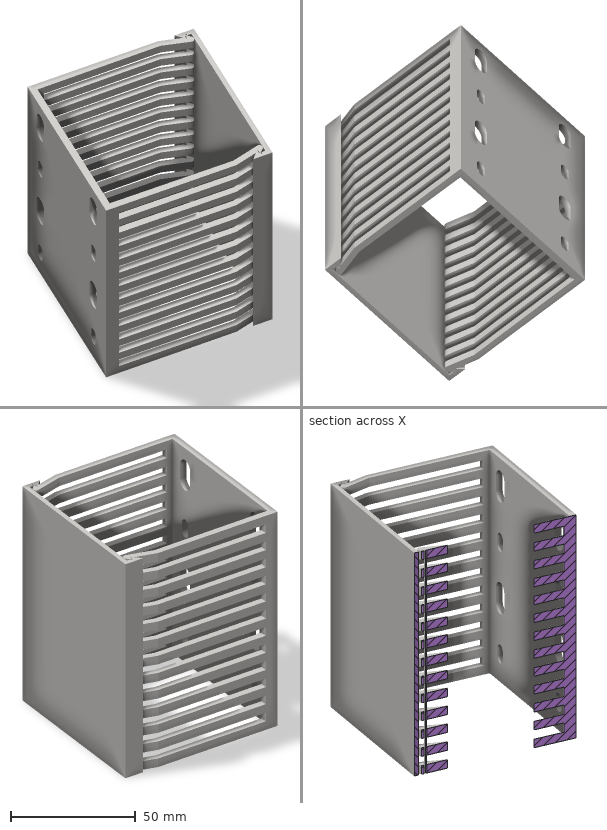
import cadquery as cq
import math

width = 74.0
depth = 73.8
length = 100.0

cover_thickness = 2.1
hook_tip_inset = 3.6
hook_drop = 5.0
hook_lead_in = hook_tip_inset
cover_side_drop = hook_drop + hook_lead_in
groove_inset = 1.2
groove_upper_drop = 3.9
groove_lower_drop = 4.3

base_thickness = 3.0
wall_foot_thickness = 3.0
wall_knee_thickness = 2.7
outer_knee_drop = 15.9
inner_knee_drop = 16.1
lean_slope = math.tan(math.radians(15))

head_radius = 1.4
head_clearance = 0.1
barb_drop = 4.6

finger_count = 13
gap_height = length / (2 * finger_count - 1)
finger_pitch = 2 * gap_height
gap_floor = 5.8

slot_spacing = 50.0
first_small_slot_z = 12.5
first_large_slot_z = 37.5
large_slot_length = 14.0
large_slot_width = 7.0
small_slot_length = 8.2
small_slot_width = 4.5


def profile_point(inset, drop):
    """Point of the profile on the -X side."""
    return (inset - width / 2, depth - drop)


def add_mirror_half(half):
    """Complete a half part on the -X side with its mirror image."""
    return half.union(half.mirror("YZ")).clean()


def make_cover():
    points = [
        (width / 2, 0),
        (0, 0),
        (0, cover_side_drop),
        (hook_tip_inset, hook_drop),
        (cover_thickness, hook_drop),
        (cover_thickness, groove_lower_drop),
        (groove_inset, groove_lower_drop),
        (groove_inset, groove_upper_drop),
        (cover_thickness, groove_upper_drop),
        (cover_thickness, cover_thickness),
        (width / 2, cover_thickness),
    ]
    outline = [profile_point(*point) for point in points]
    half = cq.Workplane("XY").polyline(outline).close().extrude(length)
    return add_mirror_half(half)


def make_channel_body():
    """Base and both side walls, before the gaps and slots are cut."""
    contact_drop = (cover_side_drop - outer_knee_drop * lean_slope) / (1 - lean_slope)
    contact_inset = (outer_knee_drop - contact_drop) * lean_slope
    barb_root_inset = (outer_knee_drop - barb_drop) * lean_slope

    lean_angle = math.atan(lean_slope)
    head_top = cover_thickness + head_clearance
    center_drop = head_top + head_radius
    inner_face_inset = wall_knee_thickness + (inner_knee_drop - center_drop) * lean_slope
    center_inset = inner_face_inset - head_radius / math.cos(lean_angle)
    round_start_inset = center_inset + head_radius * math.cos(lean_angle)
    round_start_drop = center_drop + head_radius * math.sin(lean_angle)
    flank_inset = center_inset - head_radius * math.sqrt(0.5)
    flank_drop = center_drop - head_radius * math.sqrt(0.5)
    barb_tip_drop = flank_drop + flank_inset - cover_thickness

    half = (
        cq.Workplane("XY")
        .moveTo(*profile_point(width / 2, depth))
        .lineTo(*profile_point(0, depth))
        .lineTo(*profile_point(0, outer_knee_drop))
        .lineTo(*profile_point(contact_inset, contact_drop))
        .lineTo(*profile_point(hook_tip_inset, hook_drop))
        .lineTo(*profile_point(barb_root_inset, barb_drop))
        .lineTo(*profile_point(cover_thickness, barb_drop))
        .lineTo(*profile_point(cover_thickness, barb_tip_drop))
        .lineTo(*profile_point(flank_inset, flank_drop))
        .threePointArc(
            profile_point(center_inset, head_top),
            profile_point(round_start_inset, round_start_drop),
        )
        .lineTo(*profile_point(wall_knee_thickness, inner_knee_drop))
        .lineTo(*profile_point(wall_foot_thickness, depth - base_thickness))
        .lineTo(*profile_point(width / 2, depth - base_thickness))
        .close()
        .extrude(length)
    )
    return add_mirror_half(half)


def finger_gap(bottom):
    """Cutter for one gap, through both walls and open towards the cover."""
    gap_depth = depth - gap_floor
    gap = cq.Workplane("XY").box(width, gap_depth, gap_height, centered=(True, False, False))
    return gap.translate((0, gap_floor, bottom))


def mounting_slots(first_z, slot_length, slot_width):
    """Cutters for a 2 x 2 pattern of upright slots through the base."""
    places = [
        (x, z)
        for x in (-slot_spacing / 2, slot_spacing / 2)
        for z in (first_z, first_z + slot_spacing)
    ]
    slots = cq.Workplane("XZ").pushPoints(places).slot2D(slot_length, slot_width, 90)
    return slots.extrude(-base_thickness)


def make_channel():
    body = make_channel_body()
    for index in range(finger_count - 1):
        body = body.cut(finger_gap(gap_height + index * finger_pitch))
    body = body.cut(mounting_slots(first_large_slot_z, large_slot_length, large_slot_width))
    return body.cut(mounting_slots(first_small_slot_z, small_slot_length, small_slot_width))


cover = make_cover()
channel = make_channel()

result = cq.Compound.makeCompound([channel.solids().val(), cover.solids().val()])